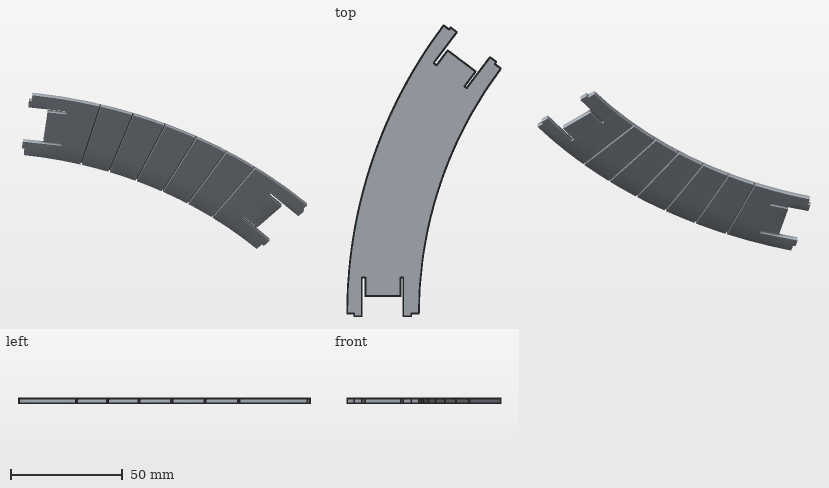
import cadquery as cq
import math

thickness = 2.2
outer_radius = 214.7
width = 32.2
inner_radius = outer_radius - width
sweep = 37.0

tab_outer_start = 3.1
outer_leg_edge = 6.7
tongue_outer_edge = 8.2
tongue_inner_edge = 24.0
inner_leg_edge = 25.2
tab_inner_end = 28.8

tab_length = 1.2
tongue_setback = 7.8
slot_depth = 16.2

sweep_divisions = 9
first_groove = 2
last_groove = 7
groove_width = 0.8
groove_skin = 0.5


def along_radius(radius, degrees):
    """Point on the plate at a radius and angle; the outer start corner is the origin."""
    angle = math.radians(degrees)
    return outer_radius - radius * math.cos(angle), radius * math.sin(angle)


def block(start, end, back, front):
    """Plate-thick box between two width stations and two lengths along the track."""
    return cq.Workplane("XY").box(
        end - start, front - back, thickness, centered=False
    ).translate((start, back, 0))


def place_at_far_end(body):
    """Mirror a near-end feature along the track and swing it to the far end."""
    pivot = (outer_radius, 0, 0)
    pivot_top = (outer_radius, 0, 1)
    return body.mirror("XZ").rotate(pivot, pivot_top, -sweep)


def ring_sector():
    return (
        cq.Workplane("XY")
        .moveTo(*along_radius(outer_radius, 0))
        .threePointArc(along_radius(outer_radius, sweep / 2), along_radius(outer_radius, sweep))
        .lineTo(*along_radius(inner_radius, sweep))
        .threePointArc(along_radius(inner_radius, sweep / 2), along_radius(inner_radius, 0))
        .close()
        .extrude(thickness)
    )


def joint_tabs():
    outer_tab = block(tab_outer_start, outer_leg_edge, -tab_length, tongue_setback)
    inner_tab = block(inner_leg_edge, tab_inner_end, -tab_length, tongue_setback)
    return outer_tab.union(inner_tab)


def joint_opening():
    """Clear space between the legs: the mouth and a slot on each side of the tongue."""
    mouth = block(outer_leg_edge, inner_leg_edge, -tab_length, tongue_setback)
    outer_slot = block(outer_leg_edge, tongue_outer_edge, -tab_length, slot_depth)
    inner_slot = block(tongue_inner_edge, inner_leg_edge, -tab_length, slot_depth)
    return mouth.union(outer_slot).union(inner_slot)


def flex_groove(degrees):
    """Radial groove across the whole width, open at the underside."""
    overrun = 1.3
    groove_centre = (inner_radius + outer_radius) / 2
    return (
        cq.Workplane("XY")
        .box(width + 2 * overrun, groove_width, thickness - groove_skin, centered=(True, True, False))
        .translate((-groove_centre, 0, 0))
        .rotate((0, 0, 0), (0, 0, 1), -degrees)
        .translate((outer_radius, 0, 0))
    )


result = (
    ring_sector()
    .union(joint_tabs())
    .union(place_at_far_end(joint_tabs()))
    .cut(joint_opening())
    .cut(place_at_far_end(joint_opening()))
)

for station in range(first_groove, last_groove + 1):
    result = result.cut(flex_groove(sweep * station / sweep_divisions))